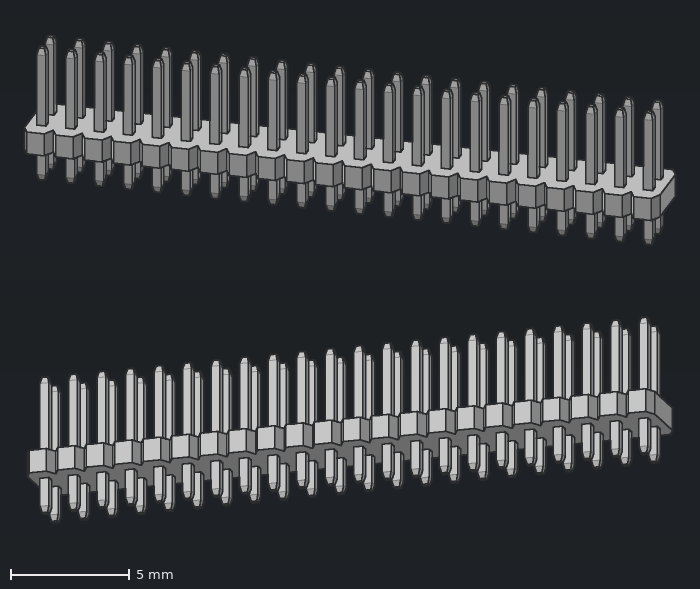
import cadquery as cq

housing_length = 27.95
housing_width = 3.4
housing_height = 1.0
columns = 22
rows = 2
pitch = housing_length / columns

notch_half_width = 0.25
notch_depth = 0.5

pin_half_width = 0.2
pin_width = 2 * pin_half_width
tip_width = 0.25
tip_length = 0.28
pin_above = 3.5
pin_below = 1.5


def make_housing():
    """Rectangular bar with a row of V-notches along both long sides."""
    bar = cq.Workplane("XY").box(
        housing_length, housing_width, housing_height, centered=(True, True, False)
    )
    notch_places = [
        (column * pitch - housing_length / 2, side * housing_width / 2)
        for column in range(columns + 1)
        for side in (-1, 1)
    ]
    notch_outline = cq.Sketch().push(notch_places).polygon(
        [
            (-notch_half_width, 0),
            (0, -notch_depth),
            (notch_half_width, 0),
            (0, notch_depth),
            (-notch_half_width, 0),
        ]
    )
    notches = cq.Workplane("XY").placeSketch(notch_outline).extrude(housing_height)
    return bar.cut(notches)


def make_pin():
    """One square pin through the housing, tapered at both ends."""
    shank_bottom = tip_length - pin_below
    shank_top = housing_height + pin_above - tip_length
    shank = (
        cq.Workplane("XY")
        .workplane(offset=shank_bottom)
        .rect(pin_width, pin_width)
        .extrude(shank_top - shank_bottom)
    )
    for face in (">Z", "<Z"):
        tip = (
            shank.faces(face)
            .workplane()
            .rect(pin_width, pin_width)
            .workplane(offset=tip_length)
            .rect(tip_width, tip_width)
            .loft(combine=False)
        )
        shank = shank.union(tip)
    return shank


pins = (
    cq.Workplane("XY")
    .rarray(pitch, pitch, columns, rows)
    .eachpoint(make_pin().val(), combine=False)
)
result = make_housing().union(pins)